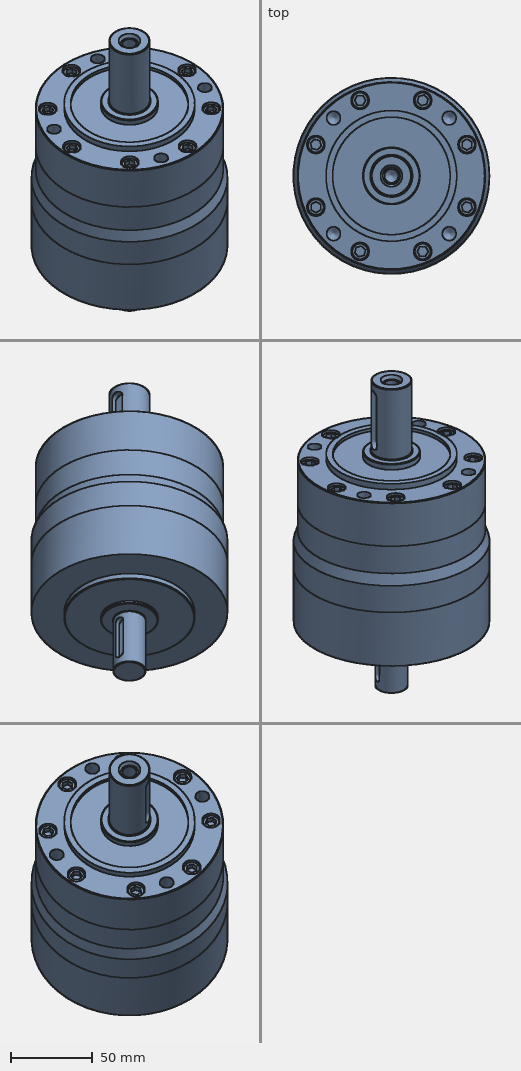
import cadquery as cq
import math


overall_height = 211.0
pilot_height = 4.0
seal_projection = 2.0
collar_height = 0.6
input_face_z = 45.0
input_joint_z = 81.9
cone_bottom_z = 100.2
cone_top_z = 107.5
output_joint_z = 126.2
output_face_z = 156.1
input_pilot_z = input_face_z - pilot_height
input_seal_z = input_pilot_z - seal_projection
input_collar_z = input_seal_z - collar_height
output_pilot_z = output_face_z + pilot_height
output_seal_z = output_pilot_z + seal_projection
output_collar_z = output_seal_z + collar_height

input_diameter = 120.0
output_diameter = 115.0
pilot_diameter = 80.0
seal_diameter = 35.0
output_shaft_diameter = 25.0
output_collar_diameter = 26.0
input_shaft_diameter = 20.0
input_collar_diameter = 20.3

edge_chamfer = 0.5
pilot_recess_diameter = 72.0
pilot_recess_depth = 2.1

pitch_radius = 50.0
screw_count = 8
screw_step_angle = 360 / screw_count
first_screw_angle = screw_step_angle / 2
screw_bore_diameter = 11.0
screw_bore_depth = 7.2
screw_head_diameter = 9.5
screw_head_sink = 1.3
socket_across_flats = 6.0
socket_across_corners = socket_across_flats / math.cos(math.radians(30))
socket_depth = 3.5
socket_turn = 7.5
tapped_hole_count = 4
tapped_hole_diameter = 8.5
tapped_hole_depth = 16.0
drill_tip_angle = 118

centre_hole_diameter = 8.5
centre_hole_depth = 25.3
centre_ledge_diameter = 10.5
centre_cone_diameter = 13.3
centre_cone_angle = 60

output_key_width = 8.0
output_key_length = 40.0
output_key_depth = 4.0
output_key_end_gap = 5.0
input_key_width = 6.0
input_key_length = 30.0
input_key_depth = 3.5
input_key_end_gap = 5.5


def cylinder(diameter, z_start, z_end):
    """Cylinder on the main axis between two heights."""
    return cq.Workplane("XY").workplane(offset=z_start).circle(diameter / 2).extrude(z_end - z_start)


def drilled_hole(diameter, depth):
    """Blind drill cutter with a conical tip, starting at the origin and going down."""
    radius = diameter / 2
    tip_length = radius / math.tan(math.radians(drill_tip_angle / 2))
    outline = [(0, 0), (radius, 0), (radius, -depth), (0, -depth - tip_length)]
    return cq.Workplane("XZ").polyline(outline).close().revolve(360, (0, 0), (0, 1))


def keyway(shaft_diameter, width, length, depth, middle_z):
    """Round-ended keyway cutter, sunk into the +Y side of a shaft."""
    floor_y = shaft_diameter / 2 - depth
    return (
        cq.Workplane("XZ", origin=(0, floor_y, middle_z))
        .slot2D(length, width, 90)
        .extrude(-2 * depth)
    )


def at_pitch_circle(shape, angle):
    """Move a shape from the origin to the output face, at an angle on the pitch circle."""
    return shape.translate((pitch_radius, 0, output_face_z)).rotate((0, 0, 0), (0, 0, 1), angle)


def screw_bore():
    """Cutter for the counterbore around a screw head."""
    return cq.Workplane("XY").circle(screw_bore_diameter / 2).extrude(-screw_bore_depth)


def screw_head():
    """Socket head standing on the floor of its counterbore."""
    top = cq.Workplane("XY").workplane(offset=-screw_head_sink)
    head = top.circle(screw_head_diameter / 2).extrude(screw_head_sink - screw_bore_depth)
    socket = top.polygon(6, socket_across_corners).extrude(-socket_depth)
    return head.cut(socket.rotate((0, 0, 0), (0, 0, 1), socket_turn))


def centre_hole():
    """Cutter for the centre hole: a guard cone that ends in a flat ledge around the tapping drill."""
    cone_radius = centre_cone_diameter / 2
    ledge_radius = centre_ledge_diameter / 2
    cone_depth = (cone_radius - ledge_radius) / math.tan(math.radians(centre_cone_angle / 2))
    outline = [
        (0, 0),
        (cone_radius, 0),
        (ledge_radius, -cone_depth),
        (0, -cone_depth),
    ]
    entry = cq.Workplane("XZ").polyline(outline).close().revolve(360, (0, 0), (0, 1))
    return entry.union(drilled_hole(centre_hole_diameter, centre_hole_depth))


def make_output_stage():
    """Output flange with pilot, seal, collar, screws and output shaft."""
    flange = cylinder(output_diameter, output_joint_z, output_face_z).faces(">Z").chamfer(edge_chamfer)
    pilot = cylinder(pilot_diameter, output_face_z, output_pilot_z)
    recess_z = output_pilot_z - pilot_recess_depth
    recess = cylinder(pilot_recess_diameter, recess_z, output_pilot_z)
    seal = cylinder(seal_diameter, recess_z, output_seal_z).faces(">Z").chamfer(edge_chamfer)
    collar = cylinder(output_collar_diameter, output_seal_z, output_collar_z)
    shaft = cylinder(output_shaft_diameter, output_collar_z, overall_height).faces(">Z").chamfer(edge_chamfer)
    stage = flange.union(pilot).cut(recess).union(seal).union(collar).union(shaft)

    for index in range(screw_count):
        angle = first_screw_angle + index * screw_step_angle
        stage = stage.cut(at_pitch_circle(screw_bore(), angle))
        stage = stage.union(at_pitch_circle(screw_head(), angle))

    for index in range(tapped_hole_count):
        angle = 360 / tapped_hole_count * (index + 0.5)
        tapped_hole = drilled_hole(tapped_hole_diameter, tapped_hole_depth)
        stage = stage.cut(at_pitch_circle(tapped_hole, angle))

    key_middle_z = overall_height - output_key_end_gap - output_key_length / 2
    stage = stage.cut(
        keyway(output_shaft_diameter, output_key_width, output_key_length, output_key_depth, key_middle_z)
    )
    return stage.cut(centre_hole().translate((0, 0, overall_height)))


def make_ring_housing():
    """Middle housing that widens through a cone from the output to the input diameter."""
    outline = [
        (0, input_joint_z),
        (input_diameter / 2, input_joint_z),
        (input_diameter / 2, cone_bottom_z),
        (output_diameter / 2, cone_top_z),
        (output_diameter / 2, output_joint_z),
        (0, output_joint_z),
    ]
    return cq.Workplane("XZ").polyline(outline).close().revolve(360, (0, 0), (0, 1))


def make_input_stage():
    """Input flange with pilot, seal, collar and input shaft."""
    flange = cylinder(input_diameter, input_face_z, input_joint_z)
    pilot = cylinder(pilot_diameter, input_pilot_z, input_face_z).faces("<Z").chamfer(edge_chamfer)
    seal = cylinder(seal_diameter, input_seal_z, input_pilot_z).faces("<Z").chamfer(edge_chamfer)
    collar = cylinder(input_collar_diameter, input_collar_z, input_seal_z)
    shaft = cylinder(input_shaft_diameter, 0, input_collar_z).faces("<Z").chamfer(edge_chamfer)
    stage = flange.union(pilot).union(seal).union(collar).union(shaft)

    key_middle_z = input_key_end_gap + input_key_length / 2
    return stage.cut(
        keyway(input_shaft_diameter, input_key_width, input_key_length, input_key_depth, key_middle_z)
    )


output_stage = make_output_stage()
ring_housing = make_ring_housing()
input_stage = make_input_stage()

result = cq.Compound.makeCompound([output_stage.val(), ring_housing.val(), input_stage.val()])